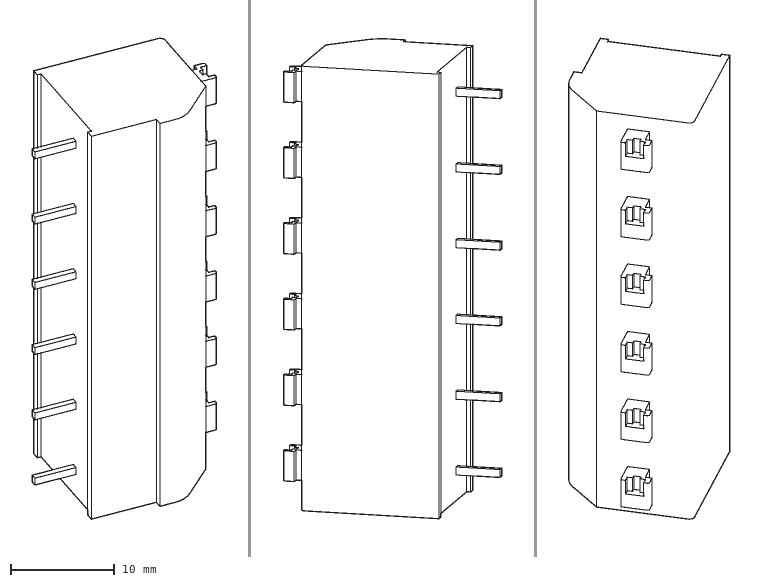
import cadquery as cq
import math

length = 44.0
width = 13.75
depth = 13.8
lower_width = 12.95
lip_y = 6.95
chamfer = 4.1
bevel_blend = 2.8
corner_radius = 0.55
foot_width = 0.85
foot_height = 0.4
overlap = 0.45

pole_count = 6
first_pole_z = 2.95
last_pole_z = 40.45
pole_pitch = (last_pole_z - first_pole_z) / (pole_count - 1)

pin_x = 8.35
pin_width = 0.6
pin_thickness = 0.8
pin_length = 4.0

button_left = 3.7
button_right = 6.55
stem_left = 4.35
button_height = 2.7
hook_depth = 1.1
button_length = 3.0
button_offset = 0.55
button_radius = 0.2

slot_x = 5.15
slot_width = 1.8
slot_depth = 0.65
groove_width = 0.7
groove_depth = 1.05
slot_length = button_length / 2


def make_block(x_min, x_max, y_min, y_max, z_min, z_max):
    """Rectangular block given by its limits."""
    size = (x_max - x_min, y_max - y_min, z_max - z_min)
    return cq.Workplane("XY").box(*size, centered=False).translate((x_min, y_min, z_min))


def make_housing():
    """Constant profile, extruded along Z."""
    tangent = bevel_blend * math.tan(math.pi / 8)
    diagonal = tangent / math.sqrt(2)
    bevel_foot_y = depth - chamfer
    blend_center_x = width - bevel_blend
    blend_center_y = bevel_foot_y - tangent
    blend_mid = (
        blend_center_x + bevel_blend * math.cos(math.pi / 8),
        blend_center_y + bevel_blend * math.sin(math.pi / 8),
    )
    corner_mid = corner_radius * (1 - math.sqrt(0.5))
    return (
        cq.Workplane("XY")
        .moveTo(0, 0)
        .lineTo(foot_width, 0)
        .lineTo(foot_width, foot_height)
        .lineTo(lower_width - foot_width, foot_height)
        .lineTo(lower_width - foot_width, 0)
        .lineTo(lower_width, 0)
        .lineTo(lower_width, lip_y)
        .lineTo(width, lip_y)
        .lineTo(width, blend_center_y)
        .threePointArc(blend_mid, (width - diagonal, bevel_foot_y + diagonal))
        .lineTo(width - chamfer, depth)
        .lineTo(corner_radius, depth)
        .threePointArc((corner_mid, depth - corner_mid), (0, depth - corner_radius))
        .close()
        .extrude(length)
    )


def make_pin(z):
    """Rectangular pin from the recessed face out past the feet."""
    half_width = pin_width / 2
    half_thickness = pin_thickness / 2
    return make_block(
        pin_x - half_width, pin_x + half_width,
        -pin_length, foot_height + overlap,
        z - half_thickness, z + half_thickness,
    )


def make_button(z):
    """Hooked push button with a stepped slot in its outer face."""
    bottom = z + button_offset - button_length / 2
    top = bottom + button_length
    face_y = depth + button_height
    head = make_block(button_left, button_right, face_y - hook_depth, face_y, bottom, top)
    head = head.edges(">Y and |Z").fillet(button_radius)
    stem = make_block(stem_left, button_right, depth - overlap, face_y - hook_depth, bottom, top)
    button = head.union(stem)
    for cut_width, cut_depth in ((slot_width, slot_depth), (groove_width, groove_depth)):
        button = button.cut(make_block(
            slot_x - cut_width / 2, slot_x + cut_width / 2,
            face_y - cut_depth, face_y,
            top - slot_length, top,
        ))
    return button


result = make_housing()
for pole in range(pole_count):
    pole_z = first_pole_z + pole * pole_pitch
    result = result.union(make_pin(pole_z)).union(make_button(pole_z))